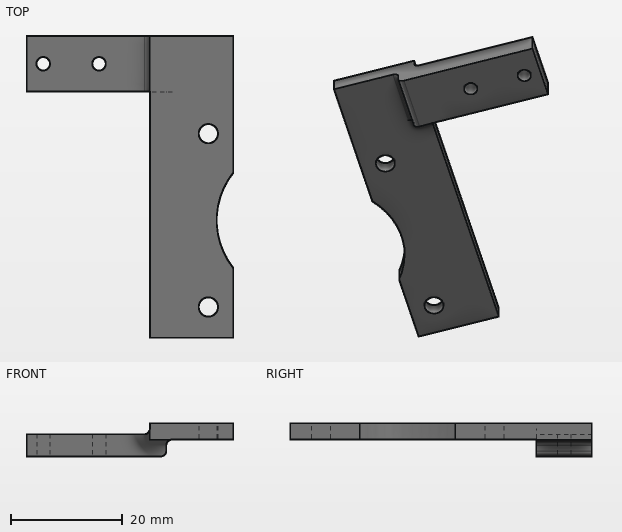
import cadquery as cq

total_length = 37.0
total_width = 54.0
total_height = 6.0

plate_length = 14.95
plate_thickness = 2.95
plate_left = total_length - plate_length
plate_bottom = total_height - plate_thickness

arm_width = 10.0
arm_thickness = 4.0
arm_end = 25.0
bend_radius = 1.0

arm_hole_diameter = 2.4
arm_hole_inset = 2.95
arm_hole_spacing = 10.0
plate_hole_diameter = 3.4
plate_hole_edge_distance = 4.5
plate_hole_inset = 5.5
plate_hole_spacing = 31.0

relief_chord = 17.05
relief_depth = 2.95
relief_center_y = plate_hole_inset + plate_hole_spacing / 2


def make_plate():
    """Rectangular plate with a circular relief in its outer long edge."""
    return (
        cq.Workplane("XY", origin=(0, 0, plate_bottom))
        .moveTo(plate_left, 0)
        .lineTo(total_length, 0)
        .lineTo(total_length, relief_center_y - relief_chord / 2)
        .threePointArc(
            (total_length - relief_depth, relief_center_y),
            (total_length, relief_center_y + relief_chord / 2),
        )
        .lineTo(total_length, total_width)
        .lineTo(plate_left, total_width)
        .close()
        .extrude(plate_thickness)
    )


def make_arm():
    """Arm profile with a rounded heel and concave blends into the plate."""
    r = bend_radius
    return (
        cq.Workplane("XZ", origin=(0, total_width, 0))
        .moveTo(0, 0)
        .lineTo(arm_end - r, 0)
        .radiusArc((arm_end, r), -r)
        .lineTo(arm_end, plate_bottom - r)
        .radiusArc((arm_end + r, plate_bottom), r)
        .lineTo(arm_end + r, arm_thickness + r)
        .lineTo(plate_left, arm_thickness + r)
        .radiusArc((plate_left - r, arm_thickness), r)
        .lineTo(0, arm_thickness)
        .close()
        .extrude(arm_width)
    )


def make_holes(diameter, centers):
    """Vertical cylinders spanning the full height of the part."""
    return cq.Workplane("XY").pushPoints(centers).circle(diameter / 2).extrude(total_height)


arm_hole_y = total_width - arm_width / 2
arm_hole_centers = [(arm_hole_inset + i * arm_hole_spacing, arm_hole_y) for i in range(2)]
plate_hole_x = total_length - plate_hole_edge_distance
plate_hole_centers = [(plate_hole_x, plate_hole_inset + i * plate_hole_spacing) for i in range(2)]

result = (
    make_plate()
    .union(make_arm())
    .cut(make_holes(arm_hole_diameter, arm_hole_centers))
    .cut(make_holes(plate_hole_diameter, plate_hole_centers))
)